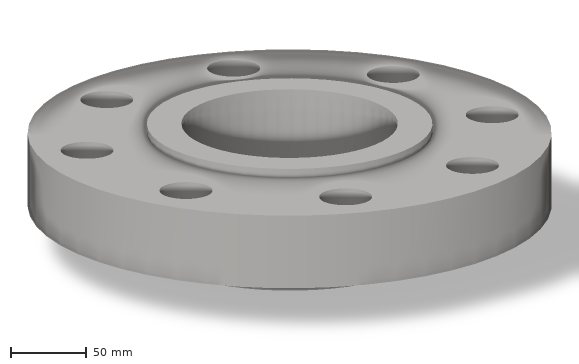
import cadquery as cq

plate_diameter = 349.2
plate_thickness = 51.0

hub_diameter = 190.5
face_height = 6.3
total_height = 85.5
hub_height = total_height - plate_thickness - face_height

bore_diameter = 144.2

bolt_count = 8
bolt_hole_diameter = 35.3
bolt_circle_diameter = 280.0
bolt_spacing_angle = 360 / bolt_count


def disc(diameter, height, base_z):
    """Solid cylinder on the Z axis, standing on base_z."""
    return cq.Workplane("XY").workplane(offset=base_z).circle(diameter / 2).extrude(height)


def bolt_holes():
    """Cutters for the ring of bolt holes through the plate."""
    return (
        cq.Workplane("XY")
        .workplane(offset=hub_height)
        .polarArray(bolt_circle_diameter / 2, bolt_spacing_angle / 2, 360, bolt_count)
        .circle(bolt_hole_diameter / 2)
        .extrude(plate_thickness)
    )


hub = disc(hub_diameter, total_height, 0)
plate = disc(plate_diameter, plate_thickness, hub_height)
bore = disc(bore_diameter, total_height, 0)

result = hub.union(plate).cut(bore).cut(bolt_holes())